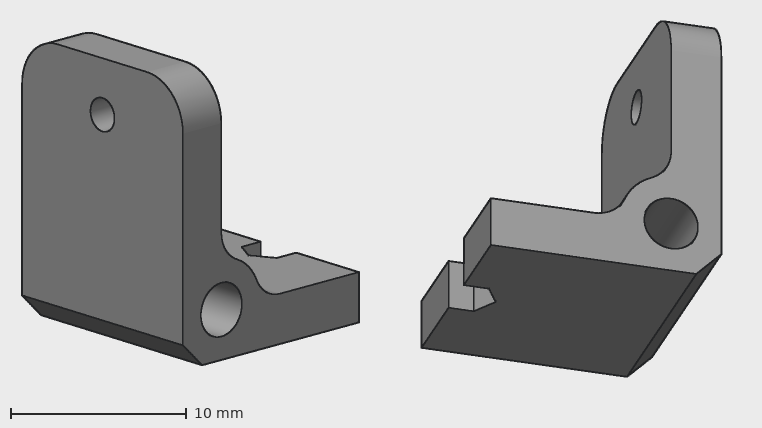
import cadquery as cq
import math

width = 13.4
depth = 13.74
height = 17.1

thickness = 3.0
edge_chamfer = 1.5
corner_radius = 3.0

barrel_radius = 3.0
barrel_blend_radius = 2.0
pin_diameter = 3.2

screw_diameter = 2.0
screw_height = 13.74

notch_width = 2.94
notch_depth = 2.35
notch_point_angle = 120.0


def make_body():
    """Extrude the L profile, with its blended barrel, across the full width."""
    center_distance = barrel_radius + barrel_blend_radius
    blend_reach = math.sqrt(center_distance**2 - barrel_blend_radius**2)
    blend_end = thickness + blend_reach
    blend_center = thickness + barrel_blend_radius

    barrel_fraction = barrel_radius / center_distance
    joint_far = thickness + blend_reach * barrel_fraction
    joint_near = thickness + barrel_blend_radius * barrel_fraction

    barrel_mid = thickness + barrel_radius / math.sqrt(2)
    joint_angle = math.atan2(-blend_reach, -barrel_blend_radius)
    plate_angle = -math.pi
    blend_mid_angle = (joint_angle + plate_angle) / 2
    blend_mid_near = blend_center + barrel_blend_radius * math.cos(blend_mid_angle)
    blend_mid_far = blend_end + barrel_blend_radius * math.sin(blend_mid_angle)

    return (
        cq.Workplane("YZ")
        .moveTo(edge_chamfer, 0)
        .lineTo(depth, 0)
        .lineTo(depth, thickness)
        .lineTo(blend_end, thickness)
        .threePointArc((blend_mid_far, blend_mid_near), (joint_far, joint_near))
        .threePointArc((barrel_mid, barrel_mid), (joint_near, joint_far))
        .threePointArc((blend_mid_near, blend_mid_far), (thickness, blend_end))
        .lineTo(thickness, height)
        .lineTo(0, height)
        .lineTo(0, edge_chamfer)
        .close()
        .extrude(width / 2, both=True)
    )


def round_top_corners(body):
    """Round the two upper corners of the upright plate."""
    return body.faces(">Z").edges("|Y").fillet(corner_radius)


def make_pin_hole():
    """Hole along the barrel axis, through the full width."""
    return (
        cq.Workplane("YZ")
        .center(thickness, thickness)
        .circle(pin_diameter / 2)
        .extrude(width / 2, both=True)
    )


def make_screw_hole():
    """Hole through the upright plate."""
    return (
        cq.Workplane("XZ")
        .center(0, screw_height)
        .circle(screw_diameter / 2)
        .extrude(-thickness)
    )


def make_notch():
    """Pointed notch through the thickness of the foot plate."""
    half_width = notch_width / 2
    point_length = half_width / math.tan(math.radians(notch_point_angle / 2))
    tip_y = depth - notch_depth
    shoulder_y = tip_y + point_length
    outline = [
        (0, tip_y),
        (half_width, shoulder_y),
        (half_width, depth),
        (-half_width, depth),
        (-half_width, shoulder_y),
    ]
    return cq.Workplane("XY").polyline(outline).close().extrude(thickness)


body = round_top_corners(make_body())
result = body.cut(make_pin_hole()).cut(make_screw_hole()).cut(make_notch())